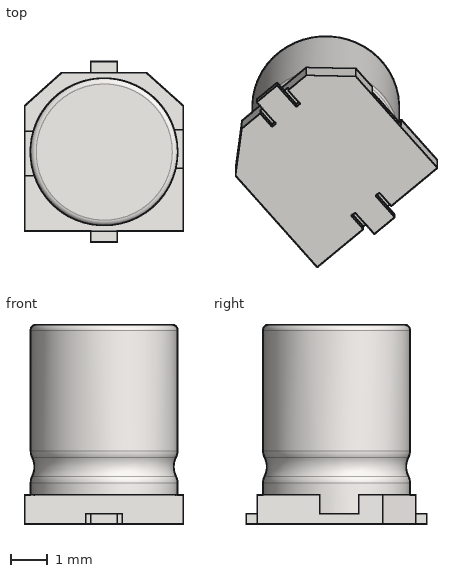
import cadquery as cq
import math

total_height = 5.41
base_side = 4.3
base_height = 0.79
can_radius = 4.0 / 2
can_bottom = 0.28
top_edge_radius = 0.15

corner_cut_x = 1.0
corner_cut_y = 0.9

groove_middle = 1.55
groove_half_height = 0.44
groove_waist_half_height = 0.26
groove_depth = 0.105

left_notch_ends = (-0.645, 0.555)
right_notch_ends = (-0.45, 0.6)

terminal_span = 4.9
terminal_width = 0.73
terminal_height = can_bottom
slot_width = 1.0
slot_depth = 0.5

half_side = base_side / 2


def make_base():
    """Square plate with its two +Y corners cut off."""
    return (
        cq.Workplane("XY")
        .moveTo(-half_side, -half_side)
        .lineTo(half_side, -half_side)
        .lineTo(half_side, half_side - corner_cut_y)
        .lineTo(half_side - corner_cut_x, half_side)
        .lineTo(corner_cut_x - half_side, half_side)
        .lineTo(-half_side, half_side - corner_cut_y)
        .close()
        .extrude(base_height)
    )


def make_side_notch(side, ends):
    """Cutter from the can axis out to one X side, open at the top of the base."""
    low_y, high_y = ends
    return (
        cq.Workplane("XY", origin=(0, 0, can_bottom))
        .moveTo(0, low_y)
        .lineTo(side * half_side, low_y)
        .lineTo(side * half_side, high_y)
        .lineTo(0, high_y)
        .close()
        .extrude(base_height - can_bottom)
    )


def make_end_block(side, width, inner_y, outer_y):
    """Box resting on the bottom plane between two distances from the axis, on one Y side."""
    length = outer_y - inner_y
    return (
        cq.Workplane("XY")
        .center(0, side * (inner_y + length / 2))
        .rect(width, length)
        .extrude(terminal_height)
    )


def make_can():
    """Revolved can with a rounded top edge and a crimp groove of tangent arcs."""
    turn = 2 * math.atan(groove_depth / groove_half_height)
    shoulder_radius = (groove_half_height - groove_waist_half_height) / math.sin(turn)
    waist_radius = groove_waist_half_height / math.sin(turn)
    joint_r = can_radius - shoulder_radius * (1 - math.cos(turn))
    shoulder_mid_r = can_radius - shoulder_radius * (1 - math.cos(turn / 2))
    shoulder_mid_offset = groove_half_height - shoulder_radius * math.sin(turn / 2)
    waist_r = joint_r - waist_radius * (1 - math.cos(turn))

    return (
        cq.Workplane("XZ")
        .moveTo(0, can_bottom)
        .lineTo(can_radius, can_bottom)
        .lineTo(can_radius, groove_middle - groove_half_height)
        .threePointArc(
            (shoulder_mid_r, groove_middle - shoulder_mid_offset),
            (joint_r, groove_middle - groove_waist_half_height),
        )
        .threePointArc(
            (waist_r, groove_middle),
            (joint_r, groove_middle + groove_waist_half_height),
        )
        .threePointArc(
            (shoulder_mid_r, groove_middle + shoulder_mid_offset),
            (can_radius, groove_middle + groove_half_height),
        )
        .lineTo(can_radius, total_height)
        .lineTo(0, total_height)
        .close()
        .revolve(360, (0, 0, 0), (0, 1, 0))
        .faces(">Z")
        .edges()
        .fillet(top_edge_radius)
    )


base = make_base()
base = base.cut(make_side_notch(-1, left_notch_ends))
base = base.cut(make_side_notch(1, right_notch_ends))

slot_end = half_side - slot_depth
for side in (-1, 1):
    slot = make_end_block(side, slot_width, slot_end, half_side)
    terminal = make_end_block(side, terminal_width, slot_end, terminal_span / 2)
    base = base.cut(slot).union(terminal)

result = base.union(make_can())